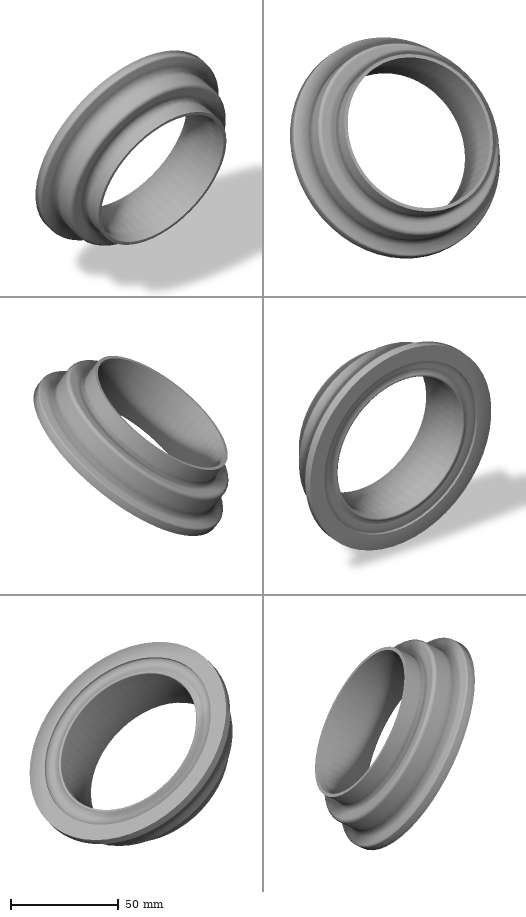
import cadquery as cq
import math

FLANGE_RADIUS = 53.0
BODY_RADIUS = 93.0 / 2
NECK_RADIUS = 76.2 / 2
BORE_RADIUS = 72.9 / 2
RECESS_RADIUS = 89.6 / 2
GROOVE_RADIUS = 40.7

TOTAL_LENGTH = 28.5
SHOULDER_X = 18.5
RIM_LENGTH = 4.3

BACK_ANGLE = math.radians(17)
RIM_ROUND = 1.0
FLANGE_FILLET = 1.9
SHOULDER_ROUND = 1.7
NECK_FILLET = 1.5

RECESS_DEPTH = 1.2
RECESS_ROUND = 0.4
LIP_ROUND = 0.6
LIP_FLAT = 0.2
GROOVE_ENTRY_ANGLE = math.radians(15)
GROOVE_EXIT_ANGLE = math.radians(40)


def circle_on(body, x, radius):
    """Return the circular edges of the body at one axial position and radius."""
    return [
        edge
        for edge in body.edges("%CIRCLE").vals()
        if abs(edge.Center().x - x) < 0.0001 and abs(edge.radius() - radius) < 0.0001
    ]


def round_circle(body, x, radius, round_radius):
    """Round or fillet the circular edge at one axial position and radius."""
    return body.newObject(circle_on(body, x, radius)).fillet(round_radius)


def revolve_profile(profile):
    """Close an X-radius outline and revolve it about the X axis."""
    return profile.close().revolve(360, (0, 0, 0), (1, 0, 0))


def mouth_cutter():
    """Return the space in front of the seat, the groove and the rounded lip."""
    inner_center_r = BORE_RADIUS + LIP_ROUND
    lip_center_r = inner_center_r + LIP_FLAT
    lip_start_r = lip_center_r + LIP_ROUND * math.sin(GROOVE_EXIT_ANGLE)
    groove_round = (GROOVE_RADIUS - lip_start_r) / (
        math.sin(GROOVE_ENTRY_ANGLE) + math.sin(GROOVE_EXIT_ANGLE)
    )
    groove_center_x = RECESS_DEPTH - groove_round * math.cos(GROOVE_ENTRY_ANGLE)
    groove_center_r = GROOVE_RADIUS - groove_round * math.sin(GROOVE_ENTRY_ANGLE)
    lip_center_x = groove_center_x + (groove_round + LIP_ROUND) * math.cos(GROOVE_EXIT_ANGLE)
    lip_start_x = lip_center_x - LIP_ROUND * math.cos(GROOVE_EXIT_ANGLE)
    lip_mid_offset = LIP_ROUND * math.sqrt(0.5)
    return revolve_profile(
        cq.Workplane("XY")
        .moveTo(0, 0)
        .lineTo(0, RECESS_RADIUS)
        .lineTo(RECESS_DEPTH, RECESS_RADIUS)
        .lineTo(RECESS_DEPTH, GROOVE_RADIUS)
        .threePointArc(
            (groove_center_x + groove_round, groove_center_r),
            (lip_start_x, lip_start_r),
        )
        .threePointArc(
            (
                lip_center_x - LIP_ROUND * math.cos(GROOVE_EXIT_ANGLE / 2),
                lip_center_r + LIP_ROUND * math.sin(GROOVE_EXIT_ANGLE / 2),
            ),
            (lip_center_x - LIP_ROUND, lip_center_r),
        )
        .lineTo(lip_center_x - LIP_ROUND, inner_center_r)
        .threePointArc(
            (lip_center_x - lip_mid_offset, inner_center_r - lip_mid_offset),
            (lip_center_x, BORE_RADIUS),
        )
        .lineTo(lip_center_x, 0)
    )


slope_foot_x = RIM_LENGTH + (FLANGE_RADIUS - BODY_RADIUS) * math.tan(BACK_ANGLE)

result = revolve_profile(
    cq.Workplane("XY")
    .moveTo(0, BORE_RADIUS)
    .lineTo(0, FLANGE_RADIUS)
    .lineTo(RIM_LENGTH, FLANGE_RADIUS)
    .lineTo(slope_foot_x, BODY_RADIUS)
    .lineTo(SHOULDER_X, BODY_RADIUS)
    .lineTo(SHOULDER_X, NECK_RADIUS)
    .lineTo(TOTAL_LENGTH, NECK_RADIUS)
    .lineTo(TOTAL_LENGTH, BORE_RADIUS)
)
result = round_circle(result, RIM_LENGTH, FLANGE_RADIUS, RIM_ROUND)
result = round_circle(result, slope_foot_x, BODY_RADIUS, FLANGE_FILLET)
result = round_circle(result, SHOULDER_X, BODY_RADIUS, SHOULDER_ROUND)
result = round_circle(result, SHOULDER_X, NECK_RADIUS, NECK_FILLET)

result = result.cut(mouth_cutter())
result = round_circle(result, RECESS_DEPTH, RECESS_RADIUS, RECESS_ROUND)